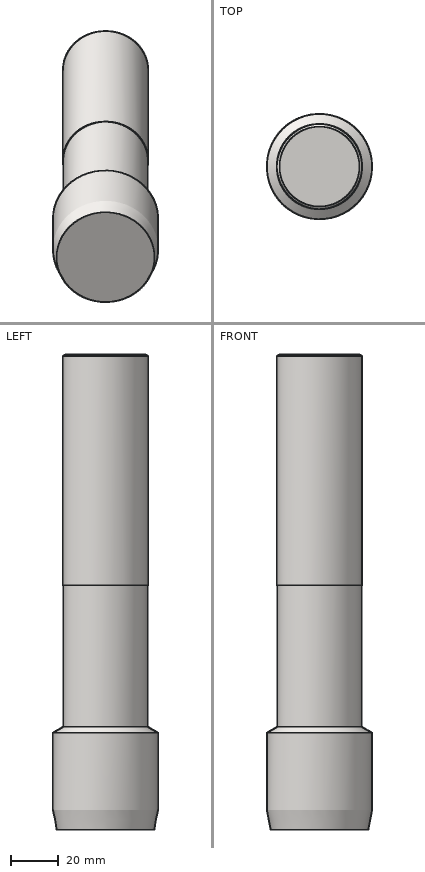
import cadquery as cq
import math

total_length = 200.0
joint_height = 102.8

shank_radius = 18.0
tip_chamfer_width = 1.2
tip_chamfer_height = 0.8

neck_relief = 0.2
neck_radius = shank_radius - neck_relief
collar_radius = 22.2
collar_top = 40.8
shoulder_angle = 30.0
shoulder_height = (collar_radius - neck_radius) * math.tan(math.radians(shoulder_angle))
nose_height = 8.5
nose_end_radius = 20.5


def revolve_about_z(profile):
    """Turn a closed half profile, given as (radius, height) points, into a solid."""
    return cq.Workplane("XZ").polyline(profile).close().revolve(360, (0, 0), (0, 1))


def make_guide():
    """Lower body: collar with a tapered nose, a conical shoulder and a plain neck."""
    return revolve_about_z([
        (0, 0),
        (nose_end_radius, 0),
        (collar_radius, nose_height),
        (collar_radius, collar_top),
        (neck_radius, collar_top + shoulder_height),
        (neck_radius, joint_height),
        (0, joint_height),
    ])


def make_shank():
    """Upper body: round bar standing on the neck, with a chamfered tip."""
    return revolve_about_z([
        (0, joint_height),
        (shank_radius, joint_height),
        (shank_radius, total_length - tip_chamfer_height),
        (shank_radius - tip_chamfer_width, total_length),
        (0, total_length),
    ])


guide = make_guide()
shank = make_shank()

result = cq.Compound.makeCompound([guide.val(), shank.val()])